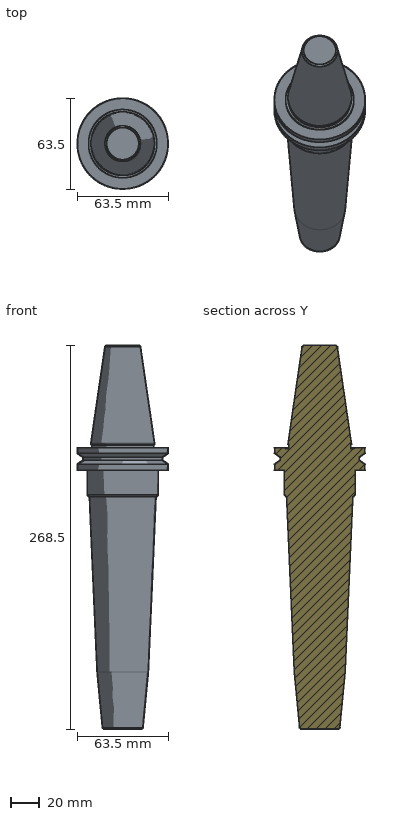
import cadquery as cq


overall_length = 268.5
taper_length = 68.5
bottom_z = taper_length - overall_length

gauge_radius = 22.3
taper_ratio = 7 / 24
tip_radius = gauge_radius - taper_length * taper_ratio / 2
tip_chamfer = 1.0

land_length = 0.8
neck_radius = 21.7
neck_start_z = -1.5

recess_radius = 24.0
recess_depth = 0.8

flange_radius = 63.5 / 2
flange_top_z = -3.2
flange_bottom_z = -19.0
groove_center_z = -11.0
groove_floor_radius = 28.0
groove_floor_half_width = 1.0
groove_mouth_half_width = 3.8

collar_radius = 25.0
collar_bottom_z = -37.5
collar_chamfer = 1.3

body_top_radius = 23.4
nose_top_radius = 18.0
nose_top_z = -159.7
nose_tip_radius = 14.2
nose_chamfer = 1.0

profile = [
    (0, taper_length),
    (tip_radius - tip_chamfer, taper_length),
    (tip_radius + tip_chamfer * taper_ratio / 2, taper_length - tip_chamfer),
    (gauge_radius, 0),
    (gauge_radius, -land_length),
    (neck_radius, neck_start_z),
    (neck_radius, flange_top_z - recess_depth),
    (recess_radius, flange_top_z - recess_depth),
    (recess_radius, flange_top_z),
    (flange_radius, flange_top_z),
    (flange_radius, groove_center_z + groove_mouth_half_width),
    (groove_floor_radius, groove_center_z + groove_floor_half_width),
    (groove_floor_radius, groove_center_z - groove_floor_half_width),
    (flange_radius, groove_center_z - groove_mouth_half_width),
    (flange_radius, flange_bottom_z),
    (collar_radius, flange_bottom_z),
    (collar_radius, collar_bottom_z + collar_chamfer),
    (collar_radius - collar_chamfer, collar_bottom_z),
    (body_top_radius, collar_bottom_z),
    (nose_top_radius, nose_top_z),
    (nose_tip_radius, bottom_z + nose_chamfer),
    (nose_tip_radius - nose_chamfer, bottom_z),
    (0, bottom_z),
]

result = cq.Workplane("XZ").polyline(profile).close().revolve(360, (0, 0, 0), (0, 1, 0))